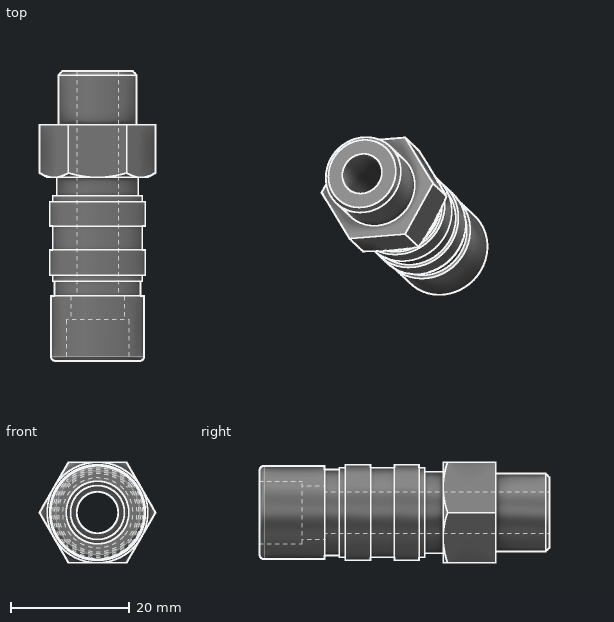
import cadquery as cq
import math

LENGTH = 49.0
FRONT_Y = -LENGTH / 2

NOSE_RADIUS = 7.9
GROOVE_RADIUS = 7.3
SHOULDER_RADIUS = 7.6
BAND_RADIUS = 8.1
NECK_RADIUS = 6.9
TAIL_RADIUS = 6.6
HEX_START = 31.0
HEX_END = 39.95
BODY_SECTIONS = [
    (NOSE_RADIUS, 11.02),
    (GROOVE_RADIUS, 13.48),
    (SHOULDER_RADIUS, 14.45),
    (BAND_RADIUS, 18.75),
    (SHOULDER_RADIUS, 22.8),
    (BAND_RADIUS, 26.95),
    (SHOULDER_RADIUS, 27.95),
    (NECK_RADIUS, HEX_START),
    (TAIL_RADIUS, LENGTH),
]
NOSE_FILLET = 0.8
TAIL_CHAMFER = 0.7

HEX_ACROSS_FLATS = 17.0
HEX_ACROSS_CORNERS = HEX_ACROSS_FLATS / math.cos(math.radians(30))
HEX_CHAMFER_ANGLE = 30.0

MOUTH_RADIUS = 5.3
MOUTH_DEPTH = 7.1
STEP_RADIUS = 4.55
STEP_DEPTH = 11.02
BORE_RADIUS = 3.5


def cylinder(radius, start, end):
    """Cylinder on the Y axis between two distances from the nose face."""
    plane = cq.Plane(origin=(0, FRONT_Y + start, 0), xDir=(1, 0, 0), normal=(0, 1, 0))
    return cq.Workplane(plane).circle(radius).extrude(end - start)


def turned_body():
    body = None
    start = 0.0
    for radius, end in BODY_SECTIONS:
        section = cylinder(radius, start, end)
        if body is None:
            body = section.faces("<Y").edges().fillet(NOSE_FILLET)
        else:
            body = body.union(section)
        start = end
    return body.faces(">Y").edges().chamfer(TAIL_CHAMFER)


def hexagon():
    """Hexagonal collar whose nose-side corners are cut by a cone."""
    plane = cq.Plane(origin=(0, FRONT_Y + HEX_START, 0), xDir=(1, 0, 0), normal=(0, 1, 0))
    prism = cq.Workplane(plane).polygon(6, HEX_ACROSS_CORNERS).extrude(HEX_END - HEX_START)
    flat_radius = HEX_ACROSS_FLATS / 2
    corner_radius = HEX_ACROSS_CORNERS / 2
    chamfer_depth = (corner_radius - flat_radius) * math.tan(math.radians(HEX_CHAMFER_ANGLE))
    start_y = FRONT_Y + HEX_START
    end_y = FRONT_Y + HEX_END
    envelope = (
        cq.Workplane("XY")
        .moveTo(0, start_y)
        .lineTo(flat_radius, start_y)
        .lineTo(corner_radius, start_y + chamfer_depth)
        .lineTo(corner_radius, end_y)
        .lineTo(0, end_y)
        .close()
        .revolve(360, (0, 0, 0), (0, 1, 0))
    )
    return prism.intersect(envelope)


def stepped_bore():
    mouth = cylinder(MOUTH_RADIUS, 0, MOUTH_DEPTH)
    step = cylinder(STEP_RADIUS, 0, STEP_DEPTH)
    through = cylinder(BORE_RADIUS, 0, LENGTH)
    return mouth.union(step).union(through)


result = turned_body().union(hexagon()).cut(stepped_bore())